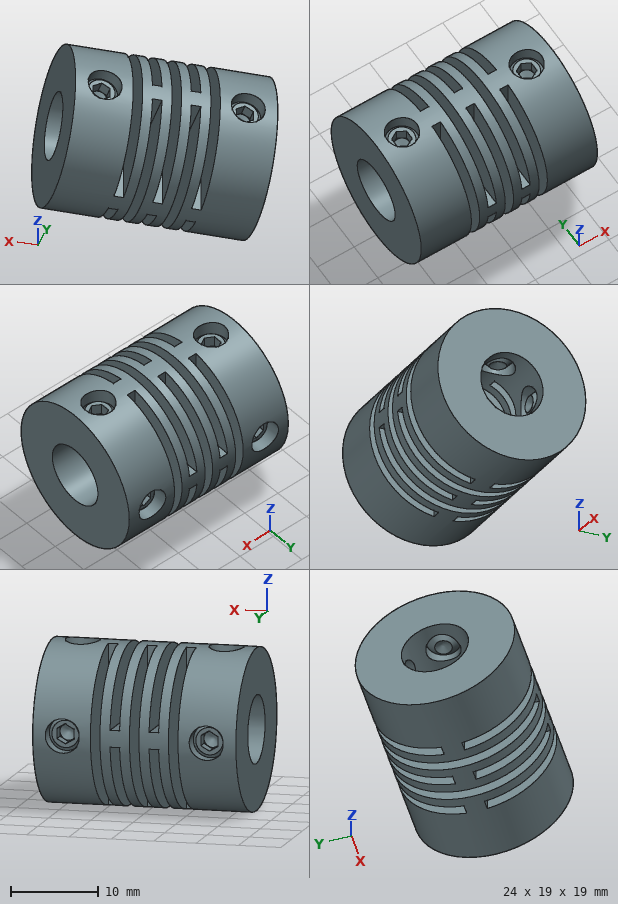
import cadquery as cq
import math

length = 24.0
outer_diameter = 19.0
bore_diameter = 8.0

slot_count = 5
slot_pitch = 2.3
slot_width = 1.13
z_bridge_width = 2.45
y_bridge_width = 1.97

screw_inset = 3.5
screw_diameter = 4.0
screw_length = 4.0
screw_chamfer = 0.4
socket_flats = 2.02
socket_depth = 1.45
drill_angle = 120.0
cup_diameter = 2.02
cup_angle = 120.0

outer_radius = outer_diameter / 2
bore_radius = bore_diameter / 2
screw_radius = screw_diameter / 2
socket_radius = socket_flats / 2
socket_corners = socket_flats / math.cos(math.radians(30))
cup_radius = cup_diameter / 2


def make_cone(base_height, base_radius, full_angle, direction):
    """Cone on the Z axis; direction 1 points it up from its base and -1 points it down."""
    depth = base_radius / math.tan(math.radians(full_angle / 2))
    base = cq.Vector(0, 0, base_height)
    return cq.Solid.makeCone(base_radius, 0, depth, pnt=base, dir=cq.Vector(0, 0, direction))


def make_body():
    """Plain cylinder along X with its through bore."""
    return (
        cq.Workplane("YZ")
        .circle(outer_radius)
        .circle(bore_radius)
        .extrude(length)
    )


def turn_about_axis(shape, angle):
    """Rotate a shape about the coupling axis."""
    return shape.rotate((0, 0, 0), (1, 0, 0), angle)


def slot_pair(x_center, bridge_width):
    """Cutters for two opposite slots in the +Y and -Y sides."""
    block = cq.Workplane("XY").box(slot_width, outer_radius, outer_diameter)
    offset = (bridge_width + outer_radius) / 2
    return block.translate((x_center, offset, 0)).union(block.translate((x_center, -offset, 0)))


def cut_slots(body):
    """Cut the row of slots, turning every second pair by 90 degrees."""
    for index in range(slot_count):
        x_center = length / 2 + (index - (slot_count - 1) / 2) * slot_pitch
        if index % 2 == 0:
            cutter = slot_pair(x_center, z_bridge_width)
        else:
            cutter = turn_about_axis(slot_pair(x_center, y_bridge_width), 90)
        body = body.cut(cutter)
    return body


def make_screw_hole():
    """Radial hole along +Z from the coupling axis to beyond the outer surface."""
    return cq.Workplane("XY").circle(screw_radius).extrude(outer_diameter)


def make_screw():
    """Set screw along +Z with a chamfered top, a hexagon socket and a tapered cup point."""
    tip_height = bore_radius
    top_height = tip_height + screw_length
    screw = (
        cq.Workplane("XY", origin=(0, 0, tip_height))
        .circle(screw_radius)
        .extrude(screw_length)
        .faces(">Z")
        .chamfer(screw_chamfer)
        .faces("<Z")
        .chamfer(screw_radius - cup_radius)
    )
    socket = (
        cq.Workplane("XY", origin=(0, 0, top_height))
        .transformed(rotate=(0, 0, 90))
        .polygon(6, socket_corners)
        .extrude(-socket_depth)
    )
    socket_point = make_cone(top_height - socket_depth, socket_radius, drill_angle, -1)
    cup = make_cone(tip_height, cup_radius, cup_angle, 1)
    return screw.cut(socket).cut(socket_point).cut(cup)


def add_screws(body):
    """Fit set screws on the +Z and +Y sides of both hubs."""
    hole = make_screw_hole()
    screw = make_screw()
    for x_center in (screw_inset, length - screw_inset):
        for angle in (0, -90):
            body = body.cut(turn_about_axis(hole, angle).translate((x_center, 0, 0)))
            body = body.union(turn_about_axis(screw, angle).translate((x_center, 0, 0)))
    return body


result = add_screws(cut_slots(make_body()))